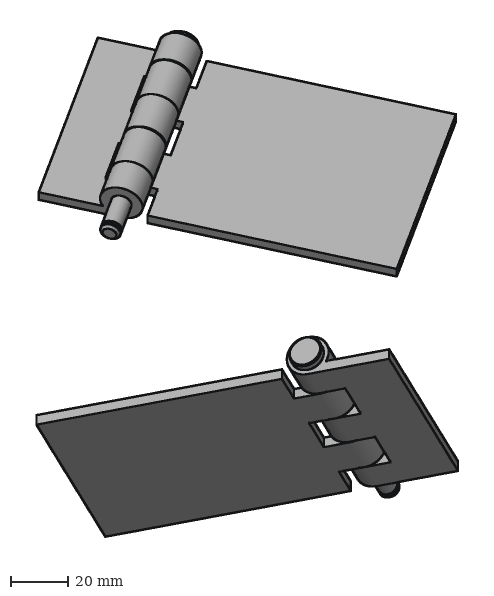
import cadquery as cq

length = 130.0
depth = 75.0
thickness = 4.0

barrel_radius = 15.5 / 2
axis_x = 30.0
axis_z = barrel_radius
leaf_setback = 9.5
slot_width = 16.9
slot_center = 16.2
knuckle_gap = 0.4
moving_knuckle_width = slot_width - knuckle_gap

pin_radius = 7.4 / 2
head_radius = 12.0 / 2
head_height = 3.0
head_chamfer = 0.4
pin_overhang = 15.0
tip_chamfer_length = 1.0
tip_chamfer_inset = 1.2
groove_offset = 2.2
groove_width = 0.5
groove_depth = 0.3


def box_between(x_start, x_end, y_start, width, height):
    """Box standing on Z = 0 between two X positions."""
    return (
        cq.Workplane("XY")
        .box(x_end - x_start, width, height, centered=False)
        .translate((x_start, y_start, 0))
    )


def rod(radius, y_start, width):
    """Cylinder on the hinge axis, running toward +Y."""
    return (
        cq.Workplane("XZ", origin=(axis_x, y_start, axis_z))
        .circle(radius)
        .extrude(-width)
    )


slot_starts = [side * slot_center - slot_width / 2 for side in (-1, 1)]


def make_fixed_leaf():
    """Short leaf with three knuckles, separated by two slots."""
    leaf = box_between(0, axis_x, -depth / 2, depth, thickness)
    leaf = leaf.union(rod(barrel_radius, -depth / 2, depth))
    for y_start in slot_starts:
        leaf = leaf.cut(
            box_between(
                axis_x - leaf_setback,
                axis_x + leaf_setback,
                y_start,
                slot_width,
                2 * barrel_radius,
            )
        )
    return leaf.cut(rod(pin_radius, -depth / 2, depth))


def make_moving_leaf():
    """Long leaf with two knuckles that sit in the slots of the fixed leaf."""
    leaf = box_between(axis_x + leaf_setback, length, -depth / 2, depth, thickness)
    for y_start in slot_starts:
        arm = box_between(
            axis_x, axis_x + leaf_setback, y_start, moving_knuckle_width, thickness
        )
        leaf = leaf.union(arm)
        leaf = leaf.union(rod(barrel_radius, y_start, moving_knuckle_width))
    return leaf.cut(rod(pin_radius, -depth / 2, depth))


def make_pin():
    """Headed pin with a chamfered tip and a shallow retaining groove."""
    tip_y = -depth / 2 - pin_overhang
    shank = rod(pin_radius, tip_y, depth + pin_overhang)
    tip_profile = [
        (axis_x + pin_radius - tip_chamfer_inset, tip_y),
        (axis_x + pin_radius, tip_y),
        (axis_x + pin_radius, tip_y + tip_chamfer_length),
    ]
    tip_bevel = (
        cq.Workplane("XY", origin=(0, 0, axis_z))
        .polyline(tip_profile)
        .close()
        .revolve(360, (axis_x, 0, 0), (axis_x, 1, 0))
    )
    shank = shank.cut(tip_bevel)
    head = rod(head_radius, depth / 2, head_height)
    head = head.faces(">Y").chamfer(head_chamfer)
    groove_y = tip_y + groove_offset
    groove = rod(pin_radius, groove_y, groove_width).cut(
        rod(pin_radius - groove_depth, groove_y, groove_width)
    )
    return shank.union(head).cut(groove)


fixed_leaf = make_fixed_leaf()
moving_leaf = make_moving_leaf()
pin = make_pin()

result = cq.Compound.makeCompound([fixed_leaf.val(), moving_leaf.val(), pin.val()])